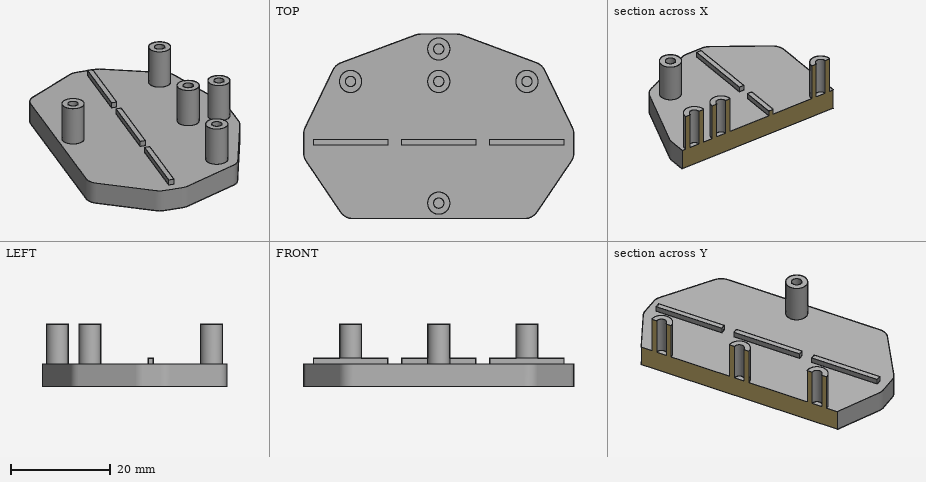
import cadquery as cq

plate_width = 54.6
plate_depth = 37.3
plate_thickness = 4.6
corner_radius = 3.0
front_edge_half_width = 18.95
side_edge_front_y = -6.3
side_edge_rear_y = -0.9
shoulder_x = 20.85
shoulder_y = 12.45
rear_edge_half_width = 4.2

total_height = 12.6
post_height = total_height - plate_thickness
post_diameter = 4.5
post_hole_diameter = 2.1

column_pitch = 17.8
post_row_y = 9.05
rear_post_y = 15.6
front_post_y = -15.5

rib_length = 15.0
rib_width = 1.1
rib_height = 1.15
rib_row_y = -3.2

post_positions = [
    (-column_pitch, post_row_y),
    (0, post_row_y),
    (column_pitch, post_row_y),
    (0, rear_post_y),
    (0, front_post_y),
]
rib_positions = [(column * column_pitch, rib_row_y) for column in (-1, 0, 1)]


def make_plate():
    """Flat plate with every upright corner rounded."""
    right_half = [
        (front_edge_half_width, -plate_depth / 2),
        (plate_width / 2, side_edge_front_y),
        (plate_width / 2, side_edge_rear_y),
        (shoulder_x, shoulder_y),
        (rear_edge_half_width, plate_depth / 2),
    ]
    left_half = [(-x, y) for x, y in reversed(right_half)]
    plate = cq.Workplane("XY").polyline(right_half + left_half).close().extrude(plate_thickness)
    return plate.edges("|Z").fillet(corner_radius)


def add_ribs(body):
    """Row of low straight ribs on the top face."""
    ribs = (
        cq.Workplane("XY", origin=(0, 0, plate_thickness))
        .pushPoints(rib_positions)
        .rect(rib_length, rib_width)
        .extrude(rib_height)
    )
    return body.union(ribs)


def add_posts(body):
    """Round posts, each bored from its top down to the plate."""
    post_plane = cq.Workplane("XY", origin=(0, 0, plate_thickness)).pushPoints(post_positions)
    posts = post_plane.circle(post_diameter / 2).circle(post_hole_diameter / 2).extrude(post_height)
    return body.union(posts)


result = add_posts(add_ribs(make_plate()))